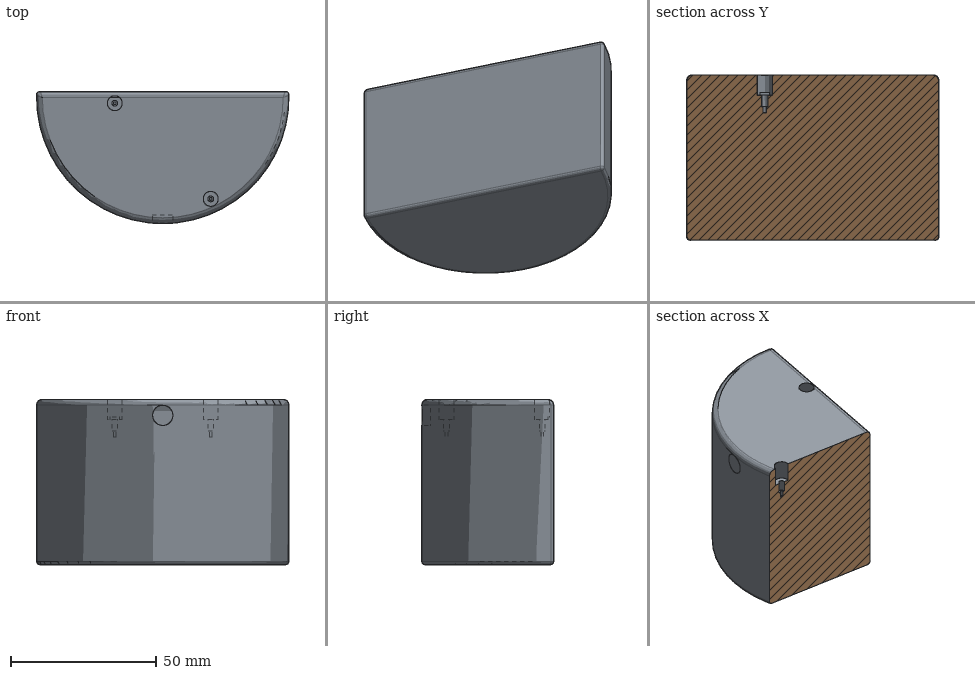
import cadquery as cq
import math

outer_radius = 43.5
back_y = 2.0
height = 57.0

top_fillet = 2.0
bottom_fillet = 1.2
corner_fillet = 1.0

screw_hole_steps = [(5.1, 7.0), (2.0, 4.0), (1.0, 2.0)]
screw_x = 16.5
back_screw_y = -2.0
front_screw_y = -35.0
screw_points = [(-screw_x, back_screw_y), (screw_x, front_screw_y)]

back_wall = 2.0
ledge_height = 1.0

plug_diameter = 7.0
plug_depth = 3.0
plug_z = height - top_fillet - plug_diameter / 2


def make_block():
    """Arc-and-chord prism with all its outer edges rounded."""
    half_chord = math.sqrt(outer_radius**2 - back_y**2)
    return (
        cq.Workplane("XY")
        .moveTo(-half_chord, back_y)
        .threePointArc((0, -outer_radius), (half_chord, back_y))
        .close()
        .extrude(height)
        .edges("|Z")
        .fillet(corner_fillet)
        .faces(">Z")
        .edges()
        .fillet(top_fillet)
        .faces("<Z")
        .edges()
        .fillet(bottom_fillet)
    )


def make_screw_holes():
    """Stepped blind holes, each step starting on the floor of the one above."""
    holes = cq.Workplane("XY")
    step_top = height
    for diameter, depth in screw_hole_steps:
        step = (
            cq.Workplane("XY", origin=(0, 0, step_top))
            .pushPoints(screw_points)
            .circle(diameter / 2)
            .extrude(-depth)
        )
        holes = holes.add(step)
        step_top -= depth
    return holes.combine()


def make_ledge():
    """Bar at the foot of the back wall, raising the hole floor behind the wall's inner plane."""
    head_diameter, head_depth = screw_hole_steps[0]
    return (
        cq.Workplane("XY", origin=(-screw_x, back_y - back_wall / 2, height - head_depth))
        .rect(head_diameter, back_wall)
        .extrude(ledge_height)
    )


def make_plug():
    """Pin along Y whose outer end follows the curved side."""
    curved_side = cq.Workplane("XY").circle(outer_radius).extrude(height)
    pin = (
        cq.Workplane("XZ", origin=(0, plug_depth - outer_radius, plug_z))
        .circle(plug_diameter / 2)
        .extrude(2 * plug_depth)
    )
    return pin.intersect(curved_side)


plug = make_plug()
screw_holes = make_screw_holes().cut(make_ledge())
housing = make_block().cut(screw_holes).cut(plug)

result = cq.Compound.makeCompound([housing.solids().val(), plug.solids().val()])